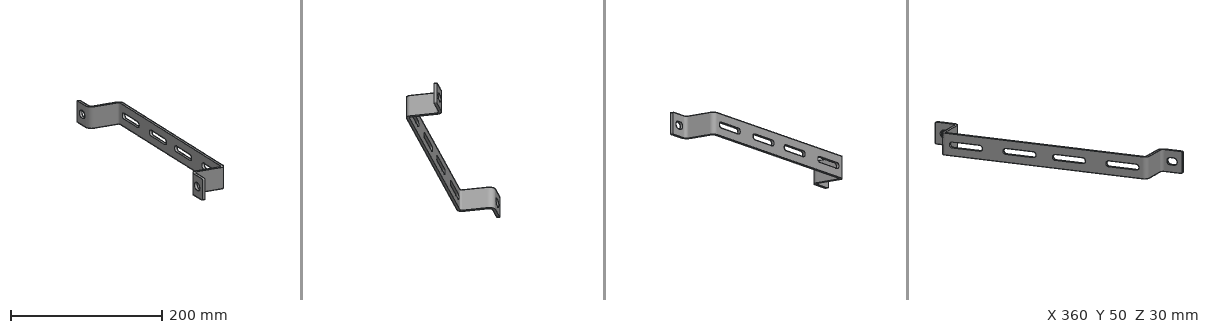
import cadquery as cq

overall_length = 360.0
overall_depth = 50.0
strip_width = 30.0
thickness = 4.0
bridge_length = 300.0

bridge_bend_radius = 2.5
foot_bend_radius = 4.5
foot_corner_radius = 2.0

bridge_slot_length = 48.0
bridge_slot_width = 8.0
inner_slot_x = 36.0
outer_slot_x = 114.0

foot_slot_length = 15.0
foot_slot_width = 10.0
foot_slot_end_distance = 15.0

half_length = overall_length / 2
leg_outer_x = bridge_length / 2
leg_inner_x = leg_outer_x - thickness
bridge_front_y = overall_depth - thickness
foot_slot_x = half_length - foot_slot_end_distance


def bent_strip():
    """Hat-shaped strip: sharp profile extruded along Z, then bends rounded."""
    right_half = [
        (leg_outer_x, overall_depth),
        (leg_outer_x, thickness),
        (half_length, thickness),
        (half_length, 0),
        (leg_inner_x, 0),
        (leg_inner_x, bridge_front_y),
    ]
    left_half = [(-x, y) for x, y in reversed(right_half)]
    strip = (
        cq.Workplane("XY")
        .polyline(right_half + left_half)
        .close()
        .extrude(strip_width / 2, both=True)
    )
    bends = [
        (leg_outer_x, overall_depth, bridge_bend_radius + thickness),
        (leg_inner_x, bridge_front_y, bridge_bend_radius),
        (leg_outer_x, thickness, foot_bend_radius),
        (leg_inner_x, 0, foot_bend_radius + thickness),
    ]
    for x, y, radius in bends:
        for side in (-1, 1):
            corner = cq.selectors.NearestToPointSelector((side * x, y, 0))
            strip = strip.edges("|Z").edges(corner).fillet(radius)
    return strip


def round_foot_corners(strip):
    """Round the free corners of both feet."""
    return strip.faces("<X or >X").edges("|Y").fillet(foot_corner_radius)


def slot_cutter(x_positions, length, width):
    """Slots along X, mirrored about X = 0, reaching through the full depth."""
    centres = [(side * x, 0) for x in x_positions for side in (-1, 1)]
    return (
        cq.Workplane("XZ")
        .pushPoints(centres)
        .slot2D(length, width)
        .extrude(-overall_depth)
    )


result = (
    round_foot_corners(bent_strip())
    .cut(slot_cutter([inner_slot_x, outer_slot_x], bridge_slot_length, bridge_slot_width))
    .cut(slot_cutter([foot_slot_x], foot_slot_length, foot_slot_width))
)